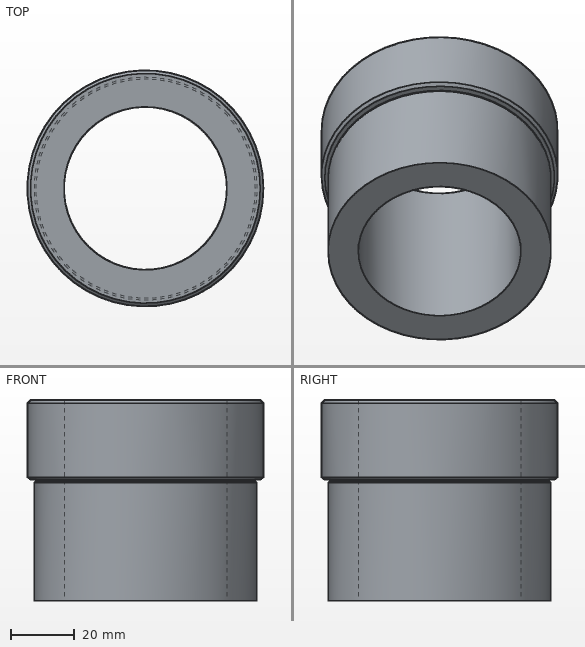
import cadquery as cq

head_diameter = 74.0
body_diameter = 69.85
bore_diameter = 50.9
total_height = 63.0
body_height = 37.95
head_chamfer = 1.0
lower_chamfer_height = 0.8
groove_diameter = 68.7
groove_width = 0.45

head_radius = head_diameter / 2
body_radius = body_diameter / 2
bore_radius = bore_diameter / 2
groove_radius = groove_diameter / 2
groove_depth = body_radius - groove_radius
groove_bottom = body_height - groove_width

half_section = (
    cq.Workplane("XZ")
    .moveTo(bore_radius, 0)
    .lineTo(body_radius, 0)
    .lineTo(body_radius, groove_bottom - groove_depth)
    .lineTo(groove_radius, groove_bottom)
    .lineTo(groove_radius, body_height)
    .lineTo(head_radius - head_chamfer, body_height)
    .lineTo(head_radius, body_height + lower_chamfer_height)
    .lineTo(head_radius, total_height - head_chamfer)
    .lineTo(head_radius - head_chamfer, total_height)
    .lineTo(bore_radius, total_height)
    .close()
)

result = half_section.revolve(360, (0, 0, 0), (0, 1, 0))